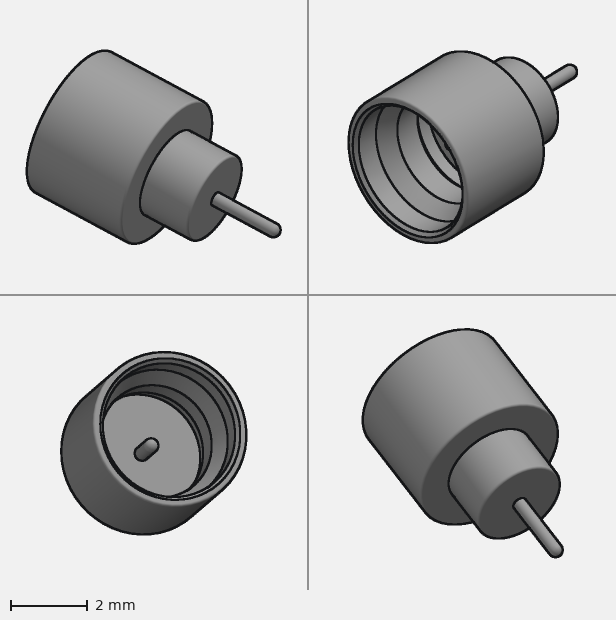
import cadquery as cq

total_length = 6.6
shell_length = 3.04
boss_end = 4.57
rim_chamfer_depth = 0.12
cone_start = 0.8
cone_end = 1.32
flare_start = 2.11
flare_length = 0.1
floor_depth = 2.64
pin_start = 1.585

shell_diameter = 4.17
boss_diameter = 2.495
mouth_diameter = 3.8
entry_diameter = 3.59
bore_diameter = 3.02
chamber_diameter = 3.175
pin_diameter = 0.38

edge_fillet = 0.065
pin_tip_fillet = 0.185


def cylinder(diameter, start, end):
    """Solid cylinder on the X axis between two axial positions."""
    return cq.Workplane("YZ", origin=(start, 0, 0)).circle(diameter / 2).extrude(end - start)


def make_body():
    """Shell and rear boss with rounded outer edges."""
    shell = cylinder(shell_diameter, 0, shell_length).edges().fillet(edge_fillet)
    boss = cylinder(boss_diameter, floor_depth, boss_end).faces(">X").edges().fillet(edge_fillet)
    return shell.union(boss)


def make_cavity():
    """Chamfered mouth, entry bore, cone, inner bore and flared chamber at the floor."""
    mouth = mouth_diameter / 2
    entry = entry_diameter / 2
    bore = bore_diameter / 2
    chamber = chamber_diameter / 2
    profile = [
        (0, 0),
        (0, mouth),
        (rim_chamfer_depth, entry),
        (cone_start, entry),
        (cone_end, bore),
        (flare_start, bore),
        (flare_start + flare_length, chamber),
        (floor_depth, chamber),
        (floor_depth, 0),
    ]
    return cq.Workplane("XY").polyline(profile).close().revolve(360, (0, 0, 0), (1, 0, 0))


def make_pin():
    """Centre pin with nearly hemispherical ends, each left with a tiny flat."""
    return cylinder(pin_diameter, pin_start, total_length).edges().fillet(pin_tip_fillet)


result = make_body().cut(make_cavity()).union(make_pin())